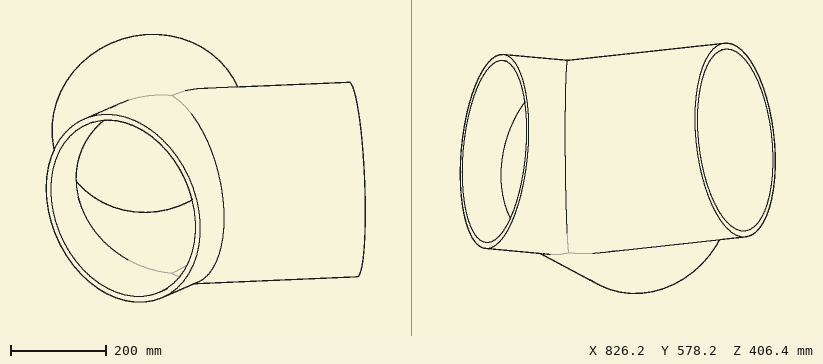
import cadquery as cq

OUTER_DIAMETER = 406.4
INNER_DIAMETER = 381.0
INLET_LENGTH = 165.1
BRANCH_LENGTH = 381.0
BRANCH_ANGLE = 45.0


def cylinder_along_y(diameter, length):
    """Solid cylinder from the junction along +Y."""
    return cq.Workplane("XZ").circle(diameter / 2).extrude(-length)


def turned_about_z(body, angle):
    return body.rotate((0, 0, 0), (0, 0, 1), angle)


def three_way_body(diameter):
    """Inlet and both branches as solid cylinders of one diameter, joined at the junction."""
    body = turned_about_z(cylinder_along_y(diameter, INLET_LENGTH), 180)
    for angle in (-BRANCH_ANGLE, BRANCH_ANGLE):
        branch = turned_about_z(cylinder_along_y(diameter, BRANCH_LENGTH), angle)
        body = body.union(branch)
    return body


result = three_way_body(OUTER_DIAMETER).cut(three_way_body(INNER_DIAMETER))